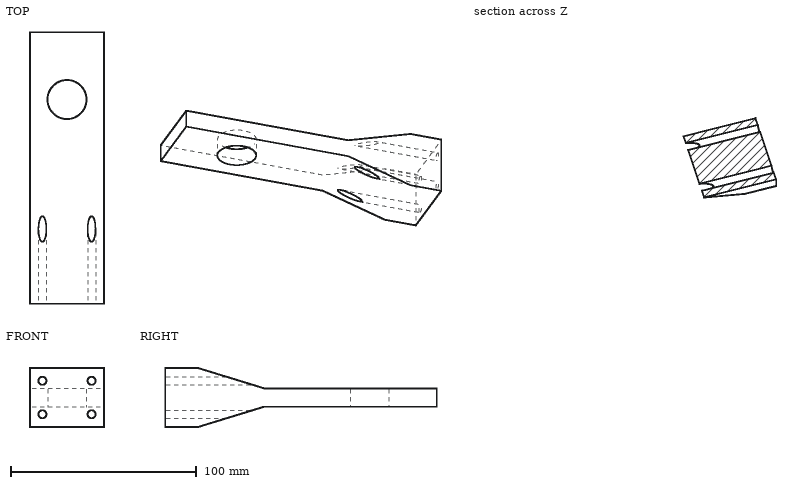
import cadquery as cq

length = 146.5
width = 40.0
block_height = 32.0
block_length = 17.7
taper_length = 35.7
bar_thickness = 10.0

bar_hole_diameter = 21.0
bar_hole_from_end = 36.3

screw_hole_diameter = 4.2
screw_spacing_x = 26.5
screw_spacing_z = 18.0


def make_body():
    """Side profile in the YZ plane, extruded across the width."""
    taper_end = block_length + taper_length
    half_block = block_height / 2
    half_bar = bar_thickness / 2
    profile = [
        (0, -half_block),
        (block_length, -half_block),
        (taper_end, -half_bar),
        (length, -half_bar),
        (length, half_bar),
        (taper_end, half_bar),
        (block_length, half_block),
        (0, half_block),
    ]
    return cq.Workplane("YZ").polyline(profile).close().extrude(width / 2, both=True)


def make_bar_hole():
    return (
        cq.Workplane("XY")
        .center(0, length - bar_hole_from_end)
        .circle(bar_hole_diameter / 2)
        .extrude(bar_thickness, both=True)
    )


def make_screw_holes():
    """The XZ plane faces -Y, so a negative depth runs into the block."""
    return (
        cq.Workplane("XZ")
        .rect(screw_spacing_x, screw_spacing_z, forConstruction=True)
        .vertices()
        .circle(screw_hole_diameter / 2)
        .extrude(-length)
    )


result = make_body().cut(make_bar_hole()).cut(make_screw_holes())